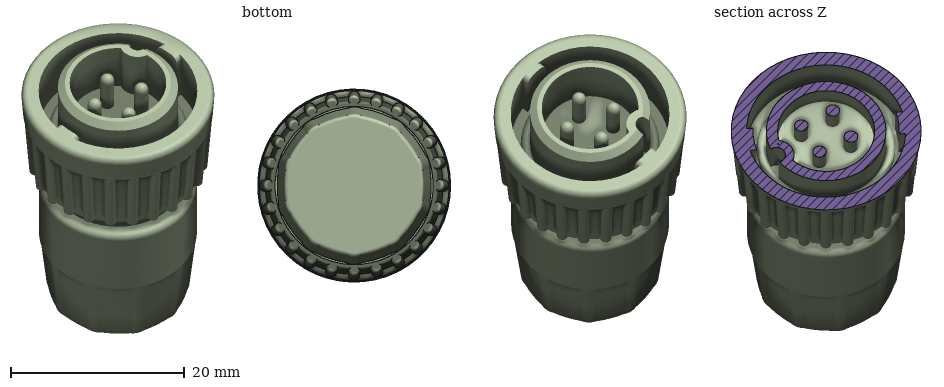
import cadquery as cq
import math

total_height = 33.73
grip_top = 8.85
body_top = 17.65
nut_bottom = 20.55
band_bottom = 29.25
nut_top = 32.45
bore_floor = 25.9
socket_floor = 27.4

grip_rib_count = 10
grip_rib_half_width = 0.8
grip_top_radius = 9.07
grip_bottom_radius = 8.2
grip_panel_inset = 0.2
grip_rib_edge_inset = 0.15
grip_bottom_round = 0.4

body_radius = 9.1
body_round = 0.78
neck_radius = 7.55

nut_diameter = 22.23
nut_top_radius = nut_diameter / 2
nut_bottom_radius = 10.35
nut_round = 0.75
nut_bottom_round = 0.27
nut_bore_radius = 9.15
ridge_count = 24
ridge_radius = 0.67
ridge_inset = 0.05
band_round = 0.55

lug_direction = 67.5
lug_width = 3.1
lug_inner_radius = 8.4
lug_round = 0.75

socket_radius = 6.9
socket_rim_radius = 6.1
socket_chamfer_height = 0.67
socket_bore_radius = 5.55
keyway_center = 6.6
keyway_radius = 1.0
keyway_wall_radius = 2.05
ring_radius = 7.42
ring_section_radius = 0.57

pin_offset = 2.1
pin_radius = 0.8
pin_top = 32.18


def polar(radius, degrees):
    """X and Y of a point at the given radius and direction."""
    angle = math.radians(degrees)
    return radius * math.cos(angle), radius * math.sin(angle)


def cylinder(radius, bottom, top):
    return cq.Workplane("XY").workplane(offset=bottom).circle(radius).extrude(top - bottom)


def cone_radius(z):
    """Radius of the tapered outside of the coupling nut."""
    cone_top = nut_top - nut_round
    share = (z - nut_bottom) / (cone_top - nut_bottom)
    return nut_bottom_radius + share * (nut_top_radius - nut_bottom_radius)


def grip_outline(plane, tip_radius):
    """Closed outline of one grip section, alternating rib and panel arcs."""
    pitch = 360 / grip_rib_count
    edge_radius = tip_radius - grip_rib_edge_inset
    panel_radius = tip_radius - grip_panel_inset
    edge_angle = math.degrees(math.asin(grip_rib_half_width / edge_radius))
    outline = plane.moveTo(*polar(edge_radius, -90 - edge_angle))
    for index in range(grip_rib_count):
        rib = -90 + index * pitch
        outline = outline.threePointArc(polar(tip_radius, rib), polar(edge_radius, rib + edge_angle))
        outline = outline.threePointArc(
            polar(panel_radius, rib + pitch / 2), polar(edge_radius, rib + pitch - edge_angle)
        )
    return outline.close()


def make_grip():
    lower = grip_outline(cq.Workplane("XY"), grip_bottom_radius)
    both = grip_outline(lower.workplane(offset=grip_top), grip_top_radius)
    return both.loft(ruled=True, combine=True).faces("<Z").edges().fillet(grip_bottom_round)


def make_body():
    body = cylinder(body_radius, grip_top, body_top).faces(">Z").edges().fillet(body_round)
    return body.union(cylinder(neck_radius, body_top, nut_bottom))


def make_ridges():
    """Rounded grip ridges that follow the taper of the nut."""
    axis_inset = ridge_radius + ridge_inset
    bottom_axis = cone_radius(nut_bottom) - axis_inset
    top_axis = cone_radius(band_bottom) - axis_inset
    start = cq.Vector(0, -bottom_axis, nut_bottom)
    path = cq.Vector(0, -top_axis, band_bottom) - start
    ridge = cq.Workplane(cq.Solid.makeCylinder(ridge_radius, path.Length, start, path))
    ridge = ridge.intersect(cylinder(nut_top_radius, nut_bottom, nut_top))
    ridges = []
    for index in range(ridge_count):
        ridges.append(ridge.rotate((0, 0, 0), (0, 0, 1), index * 360 / ridge_count).val())
    return cq.Workplane(cq.Compound.makeCompound(ridges))


def make_nut():
    """Tapered nut with a plain rounded band above the ridges and an open bore."""
    core_bottom_radius = nut_bottom_radius - ridge_radius
    band_edge = band_bottom - band_round
    band_round_center = cone_radius(band_bottom) - band_round
    band_round_offset = band_round * math.sqrt(0.5)
    round_center_radius = nut_top_radius - nut_round
    round_offset = nut_round * math.sqrt(0.5)
    nut = (
        cq.Workplane("XZ")
        .moveTo(0, nut_bottom)
        .lineTo(core_bottom_radius, nut_bottom)
        .lineTo(cone_radius(band_edge) - ridge_radius, band_edge)
        .lineTo(band_round_center, band_edge)
        .threePointArc(
            (band_round_center + band_round_offset, band_bottom - band_round_offset),
            (cone_radius(band_bottom), band_bottom),
        )
        .lineTo(nut_top_radius, nut_top - nut_round)
        .threePointArc(
            (round_center_radius + round_offset, nut_top - nut_round + round_offset),
            (round_center_radius, nut_top),
        )
        .lineTo(0, nut_top)
        .close()
        .revolve(360, (0, 0, 0), (0, 1, 0))
    )
    nut = nut.union(make_ridges()).faces("<Z").edges().fillet(nut_bottom_round)
    return nut.cut(cylinder(nut_bore_radius, bore_floor, nut_top))


def make_lugs():
    """Two opposite lugs on the bore wall, rounded at both upper ends."""
    block = (
        cq.Workplane("XY")
        .box(nut_top_radius, lug_width, nut_top - bore_floor, centered=(False, True, False))
        .translate((0, 0, bore_floor))
        .edges("|X and >Z")
        .fillet(lug_round)
    )
    sleeve = cylinder(nut_bore_radius, bore_floor, nut_top)
    sleeve = sleeve.cut(cylinder(lug_inner_radius, bore_floor, nut_top))
    lug = block.intersect(sleeve)
    first = lug.rotate((0, 0, 0), (0, 0, 1), lug_direction)
    return first.union(lug.rotate((0, 0, 0), (0, 0, 1), lug_direction + 180))


def make_socket():
    """Hollow socket whose wall curves inward around the outside keyway."""
    rim_bottom = total_height - socket_chamfer_height
    socket = (
        cq.Workplane("XZ")
        .moveTo(0, bore_floor)
        .lineTo(socket_radius, bore_floor)
        .lineTo(socket_radius, rim_bottom)
        .lineTo(socket_rim_radius, total_height)
        .lineTo(0, total_height)
        .close()
        .revolve(360, (0, 0, 0), (0, 1, 0))
    )
    place = (0, keyway_center, 0)
    keyway_wall = cylinder(keyway_wall_radius, socket_floor, total_height).translate(place)
    hollow = cylinder(socket_bore_radius, socket_floor, total_height).cut(keyway_wall)
    keyway = cylinder(keyway_radius, bore_floor, total_height).translate(place)
    return socket.cut(hollow).cut(keyway)


def make_ring():
    center = cq.Vector(0, 0, bore_floor)
    return cq.Workplane(cq.Solid.makeTorus(ring_radius, ring_section_radius, center))


def make_pins():
    pin = cylinder(pin_radius, socket_floor, pin_top - pin_radius)
    pin = pin.union(cq.Workplane("XY").sphere(pin_radius).translate((0, 0, pin_top - pin_radius)))
    pins = cq.Workplane("XY")
    for x in (-pin_offset, pin_offset):
        for y in (-pin_offset, pin_offset):
            pins = pins.union(pin.translate((x, y, 0)))
    return pins


result = (
    make_grip()
    .union(make_body())
    .union(make_nut())
    .union(make_lugs())
    .union(make_socket())
    .union(make_ring())
    .union(make_pins())
)